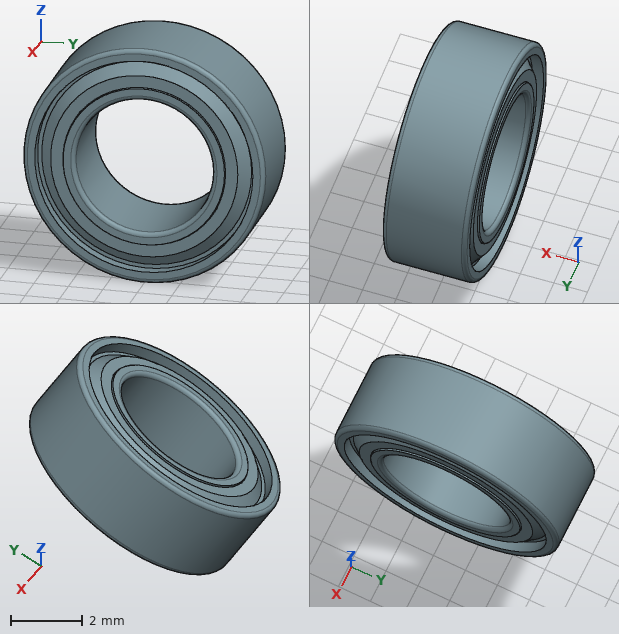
import cadquery as cq

OUTER_DIAMETER = 7.01
WIDTH = 2.49
BORE_DIAMETER = 3.99
RING_WALL = 0.34
EDGE_RADIUS = 0.125

RUNNING_GAP = 0.02
FACE_RECESS = 0.05
RIM_RECESS = 0.33
RIM_WIDTH = 0.12
CONE_WIDTH = 0.33

OUTER_RADIUS = OUTER_DIAMETER / 2
BORE_RADIUS = BORE_DIAMETER / 2
OUTER_RING_BORE_RADIUS = OUTER_RADIUS - RING_WALL
INNER_RING_RADIUS = BORE_RADIUS + RING_WALL


def tube(outer_radius, inner_radius):
    """Plain tube of the full bearing width, centred on the origin along X."""
    return (
        cq.Workplane("YZ", origin=(-WIDTH / 2, 0, 0))
        .circle(outer_radius)
        .circle(inner_radius)
        .extrude(WIDTH)
    )


def make_outer_ring():
    """Tube with its outside end edges rounded."""
    ring = tube(OUTER_RADIUS, OUTER_RING_BORE_RADIUS)
    outside_edges = cq.selectors.RadiusNthSelector(-1)
    return ring.edges("%CIRCLE").edges(outside_edges).fillet(EDGE_RADIUS)


def make_inner_ring():
    """Tube with its bore end edges rounded."""
    ring = tube(INNER_RING_RADIUS, BORE_RADIUS)
    bore_edges = cq.selectors.RadiusNthSelector(0)
    return ring.edges("%CIRCLE").edges(bore_edges).fillet(EDGE_RADIUS)


def make_filler():
    """Annular filler with a cone and a sunken rim at both ends."""
    filler_bore_radius = INNER_RING_RADIUS + RUNNING_GAP
    cone_base_radius = OUTER_RING_BORE_RADIUS - RIM_WIDTH
    cone_top_radius = cone_base_radius - CONE_WIDTH
    face_x = WIDTH / 2 - FACE_RECESS
    rim_x = WIDTH / 2 - RIM_RECESS
    return (
        cq.Workplane("XY")
        .moveTo(-face_x, filler_bore_radius)
        .lineTo(-face_x, cone_top_radius)
        .lineTo(-rim_x, cone_base_radius)
        .lineTo(-rim_x, OUTER_RING_BORE_RADIUS)
        .lineTo(rim_x, OUTER_RING_BORE_RADIUS)
        .lineTo(rim_x, cone_base_radius)
        .lineTo(face_x, cone_top_radius)
        .lineTo(face_x, filler_bore_radius)
        .close()
        .revolve(360, (0, 0, 0), (1, 0, 0))
    )


outer_ring = make_outer_ring()
inner_ring = make_inner_ring()
filler = make_filler()

result = cq.Compound.makeCompound([outer_ring.val(), inner_ring.val(), filler.val()])